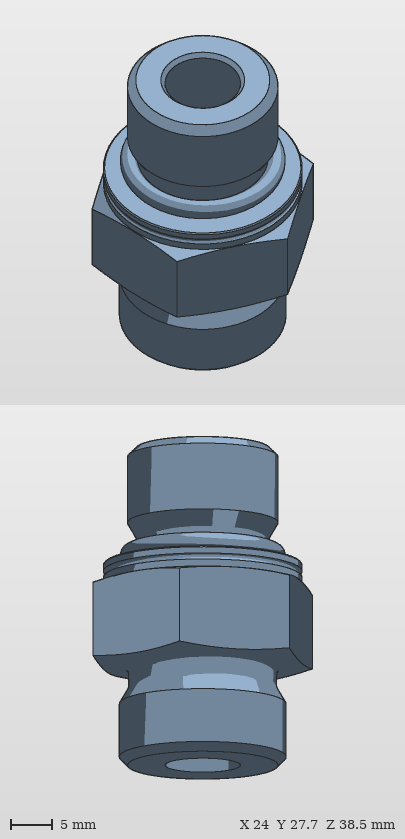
import cadquery as cq
import math

total_height = 38.5
bore_radius = 9.0 / 2
bore_chamfer = 0.5

thread_chamfer = 1.0
relief_slope = math.radians(30)

lower_thread_radius = 20.0 / 2
lower_thread_top = 7.43
lower_neck_radius = 17.7 / 2
lower_neck_fillet = 1.0

hex_flats = 24.0
hex_bottom = 12.0
hex_top = 22.0
hex_chamfer_radius = 23.95 / 2
hex_chamfer_slope = math.radians(16)

collar_radius = 23.8 / 2
collar_top = 24.5
collar_chamfer = 0.15
collar_groove_z = 23.2
collar_groove_radius = 0.4
collar_groove_depth = 0.27

upper_thread_radius = 18.0 / 2
upper_thread_bottom = 29.5
upper_neck_radius = 15.7 / 2
upper_neck_fillet = 0.5

ring_outer_radius = 19.7 / 2
ring_section_radius = 2.2 / 2


def cone_length(outer_radius, inner_radius):
    """Axial length of a relief cone between two radii."""
    return (outer_radius - inner_radius) / math.tan(relief_slope)


def revolve_profile(profile):
    """Revolve a closed (radius, z) profile about the Z axis."""
    return profile.close().revolve(360, (0, 0, 0), (0, 1, 0))


def relief_blend(fillet):
    """Offsets of a neck-to-cone fillet's ends and middle from the sharp neck corner."""
    tangent = fillet * math.tan(relief_slope / 2)
    cone_out = tangent * math.sin(relief_slope)
    cone_along = tangent * math.cos(relief_slope)
    mid_out = fillet * (1 - math.cos(relief_slope / 2))
    mid_along = fillet * math.sin(relief_slope / 2) - tangent
    return tangent, cone_out, cone_along, mid_out, mid_along


def make_lower_end():
    cone_top = lower_thread_top + cone_length(lower_thread_radius, lower_neck_radius)
    tangent, cone_out, cone_along, mid_out, mid_along = relief_blend(lower_neck_fillet)
    fillet_start = hex_bottom - lower_neck_fillet
    fillet_mid = lower_neck_fillet * (1 - math.sqrt(0.5))
    profile = (
        cq.Workplane("XZ")
        .moveTo(0, 0)
        .lineTo(lower_thread_radius - thread_chamfer, 0)
        .lineTo(lower_thread_radius, thread_chamfer)
        .lineTo(lower_thread_radius, lower_thread_top)
        .lineTo(lower_neck_radius + cone_out, cone_top - cone_along)
        .threePointArc(
            (lower_neck_radius + mid_out, cone_top - mid_along),
            (lower_neck_radius, cone_top + tangent),
        )
        .lineTo(lower_neck_radius, fillet_start)
        .threePointArc(
            (lower_neck_radius + fillet_mid, hex_bottom - fillet_mid),
            (lower_neck_radius + lower_neck_fillet, hex_bottom),
        )
        .lineTo(0, hex_bottom)
    )
    return revolve_profile(profile)


def make_hexagon():
    corner_radius = hex_flats / math.sqrt(3)
    hexagon = (
        cq.Workplane("XY", origin=(0, 0, hex_bottom))
        .polygon(6, 2 * corner_radius)
        .extrude(hex_top - hex_bottom)
        .rotate((0, 0, 0), (0, 0, 1), 30)
    )
    chamfer_drop = (corner_radius - hex_chamfer_radius) * math.tan(hex_chamfer_slope)
    clearance = 0.4
    outer_radius = corner_radius + clearance
    outer_drop = chamfer_drop + clearance * math.tan(hex_chamfer_slope)
    envelope = revolve_profile(
        cq.Workplane("XZ")
        .moveTo(0, hex_bottom)
        .lineTo(hex_chamfer_radius, hex_bottom)
        .lineTo(outer_radius, hex_bottom + outer_drop)
        .lineTo(outer_radius, hex_top - outer_drop)
        .lineTo(hex_chamfer_radius, hex_top)
        .lineTo(0, hex_top)
    )
    return hexagon.intersect(envelope)


def make_collar():
    collar = (
        cq.Workplane("XY", origin=(0, 0, hex_top))
        .circle(collar_radius)
        .extrude(collar_top - hex_top)
        .faces(">Z")
        .chamfer(collar_chamfer)
    )
    groove_centre_radius = collar_radius - collar_groove_depth + collar_groove_radius
    groove = cq.Workplane(
        cq.Solid.makeTorus(
            groove_centre_radius, collar_groove_radius, cq.Vector(0, 0, collar_groove_z)
        )
    )
    return collar.cut(groove)


def make_upper_end():
    cone_bottom = upper_thread_bottom - cone_length(upper_thread_radius, upper_neck_radius)
    tangent, cone_out, cone_along, mid_out, mid_along = relief_blend(upper_neck_fillet)
    profile = (
        cq.Workplane("XZ")
        .moveTo(0, collar_top)
        .lineTo(upper_neck_radius, collar_top)
        .lineTo(upper_neck_radius, cone_bottom - tangent)
        .threePointArc(
            (upper_neck_radius + mid_out, cone_bottom + mid_along),
            (upper_neck_radius + cone_out, cone_bottom + cone_along),
        )
        .lineTo(upper_thread_radius, upper_thread_bottom)
        .lineTo(upper_thread_radius, total_height - thread_chamfer)
        .lineTo(upper_thread_radius - thread_chamfer, total_height)
        .lineTo(0, total_height)
    )
    return revolve_profile(profile)


def make_bore():
    """Through bore with a chamfered mouth at the upper end."""
    return revolve_profile(
        cq.Workplane("XZ")
        .moveTo(0, 0)
        .lineTo(bore_radius, 0)
        .lineTo(bore_radius, total_height - bore_chamfer)
        .lineTo(bore_radius + bore_chamfer, total_height)
        .lineTo(0, total_height)
    )


def make_fitting(o_ring):
    """Joined outside shape, less the bore and the groove that seats the O-ring."""
    outside = make_lower_end().union(make_hexagon()).union(make_collar()).union(make_upper_end())
    return outside.cut(make_bore()).cut(cq.Workplane(o_ring))


def make_o_ring():
    ring_centre_radius = ring_outer_radius - ring_section_radius
    ring_centre_z = collar_top + ring_section_radius
    return cq.Solid.makeTorus(
        ring_centre_radius, ring_section_radius, cq.Vector(0, 0, ring_centre_z)
    )


o_ring = make_o_ring()
fitting = make_fitting(o_ring)

result = cq.Compound.makeCompound([fitting.solids().val(), o_ring])